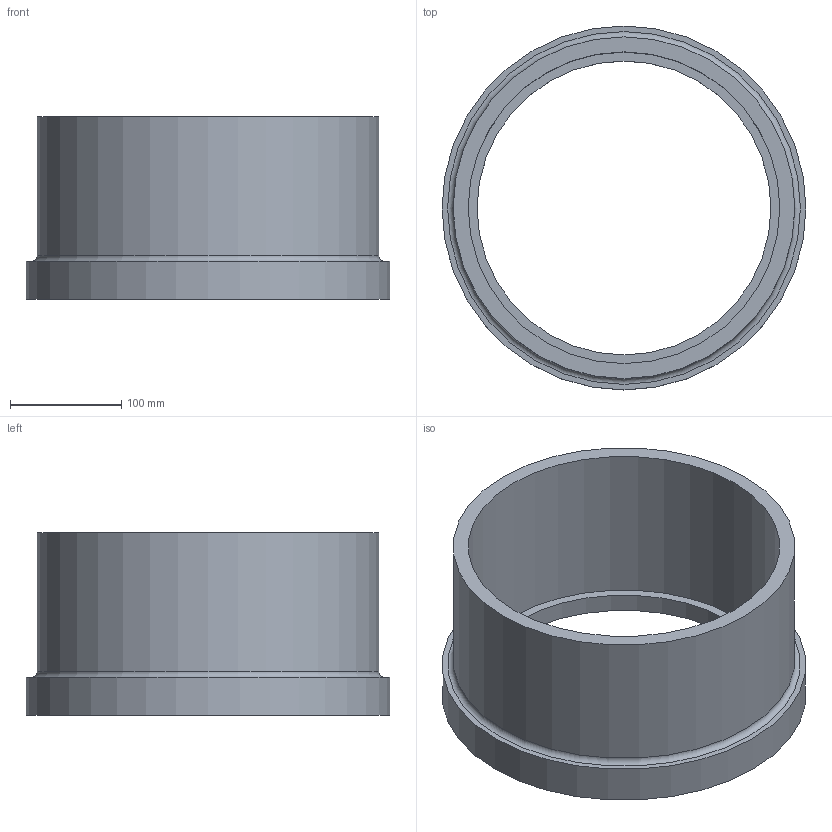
import cadquery as cq

total_height = 163.7

flange_diameter = 327.0
flange_height = 34.0

tube_outer_diameter = 307.0
tube_inner_diameter = 280.0
neck_fillet_radius = 5.0

ledge_bore_diameter = 264.0
ledge_height = 16.7


def ring_profile():
    """Half section of the ring in the XZ plane, X being the radius."""
    flange_radius = flange_diameter / 2
    tube_outer_radius = tube_outer_diameter / 2
    tube_inner_radius = tube_inner_diameter / 2
    ledge_bore_radius = ledge_bore_diameter / 2
    fillet_top = flange_height + neck_fillet_radius

    return (
        cq.Workplane("XZ")
        .moveTo(ledge_bore_radius, 0)
        .lineTo(flange_radius, 0)
        .lineTo(flange_radius, flange_height)
        .lineTo(tube_outer_radius + neck_fillet_radius, flange_height)
        .radiusArc((tube_outer_radius, fillet_top), neck_fillet_radius)
        .lineTo(tube_outer_radius, total_height)
        .lineTo(tube_inner_radius, total_height)
        .lineTo(tube_inner_radius, ledge_height)
        .lineTo(ledge_bore_radius, ledge_height)
        .close()
    )


result = ring_profile().revolve(360, (0, 0, 0), (0, 1, 0))